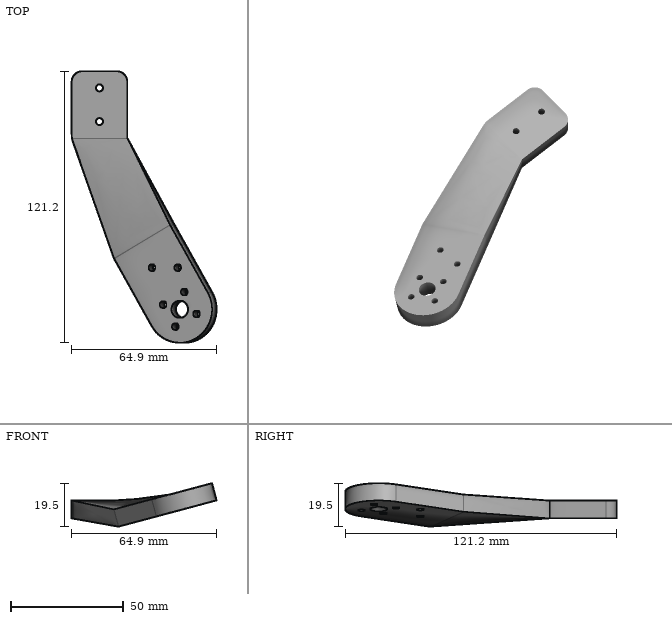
import cadquery as cq
import math

overall_length = 121.2
thickness = 8.0
screw_diameter = 3.0

plate_width = 25.0
plate_length = 30.0
plate_corner_radius = 5.0
plate_hole_spacing = 15.0
plate_hole_end_distance = 7.5

arm_tilt = 15
arm_swing = 30
arm_width = 30.0
arm_radius = arm_width / 2
arm_length = 34.9
arm_end_y = plate_length + arm_radius - overall_length
arm_end_center = (35.8, arm_end_y, 3.9)

bore_diameter = 7.6
bolt_circle_radius = 8.0
bolt_count = 4
bolt_start_angle = 45
extra_hole_spacing = 11.9
extra_hole_row = 18.5
extra_hole_shift = 6.9

bend_round_radius = 12.1

tilt = math.radians(arm_tilt)
swing = math.radians(arm_swing)
arm_plane = cq.Plane(
    origin=arm_end_center,
    xDir=(math.cos(tilt), 0, math.sin(tilt)),
    normal=(-math.sin(tilt), 0, math.cos(tilt)),
)


def arm_point(across, along):
    """Turn a place across/along the swung arm into arm plane coordinates."""
    return (
        across * math.cos(swing) - along * math.sin(swing),
        across * math.sin(swing) + along * math.cos(swing),
    )


def make_plate():
    plate = (
        cq.Workplane("XY")
        .rect(plate_width, plate_length)
        .extrude(-thickness)
        .translate((0, plate_length / 2, 0))
    )
    return plate.edges("|Z and >Y").fillet(plate_corner_radius)


def make_arm():
    return (
        cq.Workplane(arm_plane)
        .moveTo(*arm_point(-arm_radius, arm_length))
        .lineTo(*arm_point(-arm_radius, 0))
        .threePointArc(arm_point(0, -arm_radius), arm_point(arm_radius, 0))
        .lineTo(*arm_point(arm_radius, arm_length))
        .close()
        .extrude(-thickness)
    )


def make_transition():
    """Twisted bridge with straight rulings from the plate's end to the arm's end."""
    half_width = plate_width / 2
    plate_end = [
        cq.Vector(-half_width, 0, 0),
        cq.Vector(half_width, 0, 0),
        cq.Vector(half_width, 0, -thickness),
        cq.Vector(-half_width, 0, -thickness),
    ]
    arm_left = arm_point(-arm_radius, arm_length)
    arm_right = arm_point(arm_radius, arm_length)
    arm_end = [
        arm_plane.toWorldCoords((*arm_left, 0)),
        arm_plane.toWorldCoords((*arm_right, 0)),
        arm_plane.toWorldCoords((*arm_right, -thickness)),
        arm_plane.toWorldCoords((*arm_left, -thickness)),
    ]
    ends = [cq.Wire.makePolygon(corners, close=True) for corners in (plate_end, arm_end)]
    return cq.Workplane(cq.Solid.makeLoft(ends, True))


def cut_plate_holes(body):
    far_hole = plate_length - plate_hole_end_distance
    holes = (
        cq.Workplane("XY")
        .pushPoints([(0, far_hole), (0, far_hole - plate_hole_spacing)])
        .circle(screw_diameter / 2)
        .extrude(-thickness)
    )
    return body.cut(holes)


def cut_arm_holes(body):
    bore = cq.Workplane(arm_plane).circle(bore_diameter / 2).extrude(-thickness)
    bolts = (
        cq.Workplane(arm_plane)
        .polarArray(bolt_circle_radius, arm_swing + bolt_start_angle, 360, bolt_count)
        .circle(screw_diameter / 2)
        .extrude(-thickness)
    )
    extra_holes = (
        cq.Workplane(arm_plane)
        .center(-extra_hole_shift, extra_hole_row)
        .rarray(extra_hole_spacing, 1.2, 2, 1)
        .circle(screw_diameter / 2)
        .extrude(-thickness)
    )
    return body.cut(bore).cut(bolts).cut(extra_holes)


body = make_plate().union(make_transition()).union(make_arm())

bend_edge = cq.selectors.NearestToPointSelector((-plate_width / 2, 0, -thickness / 2))
body = body.edges(bend_edge).fillet(bend_round_radius)

result = cut_arm_holes(cut_plate_holes(body))